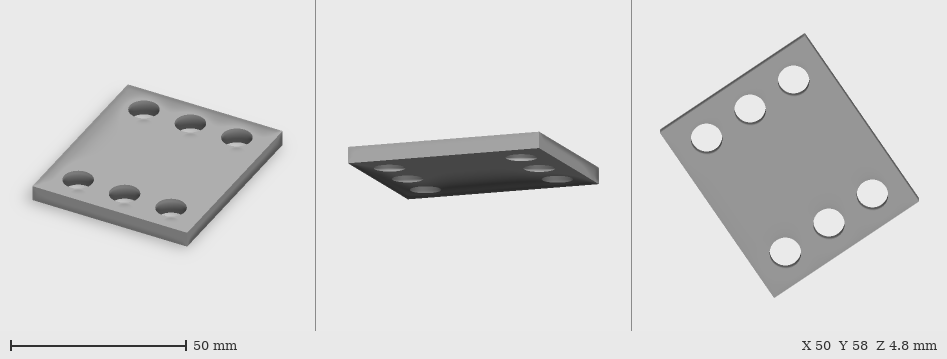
import cadquery as cq

plate_width = 50.0
plate_length = 58.0
plate_thickness = 4.8

hole_diameter = 9.0
holes_per_row = 3
row_count = 2
hole_spacing = 15.0
row_spacing = 40.0


def make_plate():
    """Flat rectangular plate centred on the Z axis, resting on Z = 0."""
    return cq.Workplane("XY").box(
        plate_width, plate_length, plate_thickness, centered=(True, True, False)
    )


def drill_holes(plate):
    """Drill the rows of holes through the full thickness."""
    return (
        plate.faces(">Z")
        .workplane(origin=(0, 0, plate_thickness))
        .rarray(hole_spacing, row_spacing, holes_per_row, row_count)
        .hole(hole_diameter)
    )


result = drill_holes(make_plate())